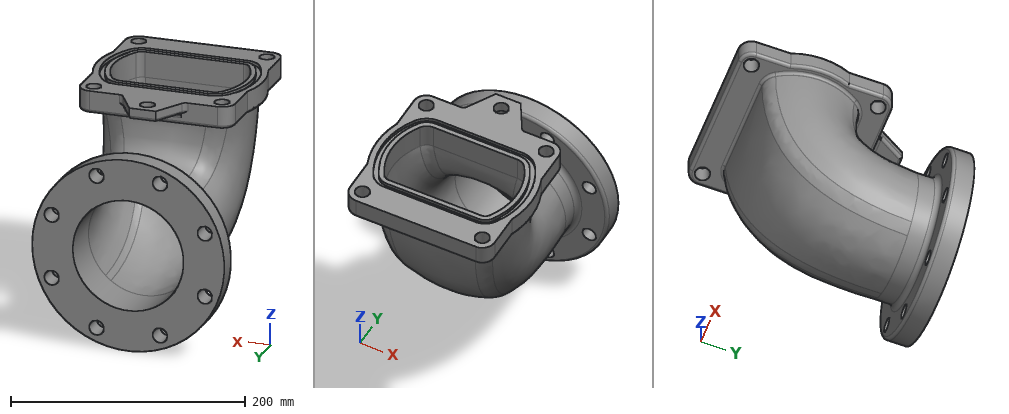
import cadquery as cq
import math


flange_thickness = 20.0
edge_round = 3.0
bolt_hole_diameter = 13.0

round_flange_radius = 87.0
round_flange_bolt_circle = 149.9
round_flange_bolts = 8

top_z = 120.0
mouth_y = -135.0
square_side = 140.0
square_corner = 12.0
square_bolt_spacing = 116.0
bulge_radius = 75.0

lug_thickness = 10.0
lug_reach = 98.0
lug_hole_reach = 85.0
lug_tip_half_width = 12.0
lug_side_angle = 60
lug_plan_fillet = 5.0
lug_root_fillet = 4.0

pipe_radius = 57.0
bore_radius = 50.0
round_neck_end = -40.0
round_neck_fillet = 5.0
mouth_neck_depth = 23.0
mouth_fillet = 2.7

opening_radius = 60.0
opening_inner_reach = 37.9
opening_outer_reach = 35.2
opening_inner_corner = 12.0
opening_outer_corner = 8.0

side_wall = 7.0
flat_wall = 7.9

groove_inner_offset = 4.5
groove_outer_offset = 9.1
groove_depth = 3.1

inside_bend_tangents = (37.9, 34.8)
outside_bend_tangents = (74.5, 119.0)
bend_steps = 6

tolerance = 0.02

bottom_z = top_z - flange_thickness
mouth_neck_z = top_z - mouth_neck_depth
neck_radius = opening_radius + side_wall
neck_inner_reach = opening_inner_reach + flat_wall
neck_outer_reach = opening_outer_reach + flat_wall


def half_mouth(radius, reach, corner):
    """End, middle and end of the rounded corner on the +X side, from the flat to the side arc."""
    centre_x = math.sqrt((radius - corner) ** 2 - (reach - corner) ** 2)
    centre_v = reach - corner
    side_angle = math.atan2(centre_v, centre_x)
    middle_angle = (side_angle + math.pi / 2) / 2
    return [
        (centre_x + corner * math.cos(angle), centre_v + corner * math.sin(angle))
        for angle in (math.pi / 2, middle_angle, side_angle)
    ]


def mouth_points(radius, inner_reach, outer_reach, inner_corner, outer_corner):
    """Sixteen points around the mouth, alternating edge ends and edge middles."""
    upper = half_mouth(radius, inner_reach, inner_corner)
    lower = [(x, -v) for x, v in half_mouth(radius, outer_reach, outer_corner)]
    right = upper + [(radius, 0)] + lower[::-1]
    left = [(-x, v) for x, v in reversed(right)]
    return right + [(0, -outer_reach)] + left + [(0, inner_reach)]


def outline(points, flats):
    """Closed wire of eight edges; the two flats become lines when flats is true."""
    edges = []
    for i in range(0, len(points), 2):
        start, middle, end = points[i], points[i + 1], points[(i + 2) % len(points)]
        if flats and middle.x == 0:
            edges.append(cq.Edge.makeLine(start, end))
        else:
            edges.append(cq.Edge.makeThreePointArc(start, middle, end))
    return cq.Wire.assembleEdges(edges)


def mouth_wire(points, z):
    return outline([cq.Vector(x, mouth_y + v, z) for x, v in points], True)


def mouth_prism(wire, height):
    return cq.Workplane(cq.Solid.extrudeLinear(wire, [], cq.Vector(0, 0, height)))


def mouth_neck(points):
    return mouth_prism(mouth_wire(points, mouth_neck_z), mouth_neck_depth)


def bend_point(start_z, end_y, tangents, t):
    """Point on the cubic curve that leaves the round neck along -Y and reaches the mouth along +Z."""
    start = cq.Vector(0, round_neck_end, start_z)
    end = cq.Vector(0, end_y, mouth_neck_z)
    start_pull = start - cq.Vector(0, tangents[0], 0)
    end_pull = end - cq.Vector(0, 0, tangents[1])
    s = 1 - t
    return start * s**3 + start_pull * (3 * s * s * t) + end_pull * (3 * s * t * t) + end * t**3


def bend(radius, points):
    """Loft from a circle of the given radius to the mouth outline."""
    inner_reach = max(v for x, v in points)
    outer_reach = -min(v for x, v in points)
    half_depth = (inner_reach + outer_reach) / 2
    mouth_radius = max(x for x, v in points)
    middle_v = (inner_reach - outer_reach) / 2
    wires = []
    for step in range(bend_steps + 1):
        t = step / bend_steps
        squareness = t * t
        half_width = (1 - t) * radius + t * mouth_radius
        inside = bend_point(radius, mouth_y + inner_reach, inside_bend_tangents, t)
        outside = bend_point(-radius, mouth_y - outer_reach, outside_bend_tangents, t)
        middle = (inside + outside) * 0.5
        half_chord = (inside - outside) * 0.5
        section = []
        for x, v in points:
            rise = (v - middle_v) / half_depth
            across = x / mouth_radius
            size = math.hypot(across, rise)
            scale = (1 - squareness) / size + squareness
            sideways = cq.Vector(half_width * across * scale, 0, 0)
            section.append(middle + half_chord * (rise * scale) + sideways)
        wires.append(outline(section, step == bend_steps))
    return cq.Workplane(cq.Solid.makeLoft(wires))


def round_neck(radius):
    return cq.Workplane("XZ").circle(radius).extrude(-round_neck_end)


def round_flange():
    return (
        cq.Workplane("XZ")
        .circle(round_flange_radius)
        .extrude(flange_thickness)
        .faces("<Y")
        .edges()
        .fillet(edge_round)
    )


def square_flange():
    plane = cq.Workplane("XY", origin=(0, mouth_y, bottom_z))
    plate = plane.rect(square_side, square_side).extrude(flange_thickness).edges("|Z").fillet(square_corner)
    disc = plane.circle(bulge_radius).extrude(flange_thickness)
    band = plane.rect(2 * bulge_radius, square_bolt_spacing).extrude(flange_thickness)
    return plate.union(disc.intersect(band)).faces("<Z").edges().fillet(edge_round)


def lug():
    """Tapered lug flared into the plate, with a rounded lower edge and a filleted root underneath."""
    root_y = square_side / 2
    overlap_y = root_y - square_corner
    spread = (lug_reach - root_y) / math.tan(math.radians(lug_side_angle))
    root_half_width = lug_tip_half_width + spread
    lug_bottom_z = top_z - lug_thickness
    plane = cq.Workplane("XY", origin=(0, mouth_y, lug_bottom_z))
    wedge = (
        plane.polyline(
            [
                (-root_half_width, overlap_y),
                (-root_half_width, root_y),
                (-lug_tip_half_width, lug_reach),
                (lug_tip_half_width, lug_reach),
                (root_half_width, root_y),
                (root_half_width, overlap_y),
            ]
        )
        .close()
        .extrude(lug_thickness)
    )
    root_strip = (
        plane.center(0, (root_y + overlap_y) / 2)
        .rect(square_bolt_spacing, root_y - overlap_y)
        .extrude(lug_thickness)
    )

    def at_sides(edge):
        centre = edge.Center()
        return abs(centre.y - mouth_y - root_y) < tolerance and abs(centre.x) < root_half_width + tolerance

    def beyond_root(edge):
        return edge.Center().y > mouth_y + root_y + tolerance

    flared = wedge.union(root_strip).edges("|Z").filter(at_sides).fillet(lug_plan_fillet)
    rounded = flared.faces("<Z").edges().filter(beyond_root).fillet(edge_round)

    root_fillet = (
        cq.Workplane("YZ", origin=(-root_half_width + edge_round, mouth_y, 0))
        .moveTo(root_y, lug_bottom_z)
        .lineTo(root_y, lug_bottom_z - lug_root_fillet)
        .radiusArc((root_y + lug_root_fillet, lug_bottom_z), lug_root_fillet)
        .close()
        .extrude(2 * (root_half_width - edge_round))
    )
    return rounded.union(root_fillet)


def bolt_holes():
    round_holes = (
        cq.Workplane("XZ")
        .polarArray(round_flange_bolt_circle / 2, 180 / round_flange_bolts, 360, round_flange_bolts)
        .circle(bolt_hole_diameter / 2)
        .extrude(flange_thickness)
    )
    square_holes = (
        cq.Workplane("XY", origin=(0, mouth_y, bottom_z))
        .rect(square_bolt_spacing, square_bolt_spacing, forConstruction=True)
        .vertices()
        .circle(bolt_hole_diameter / 2)
        .extrude(flange_thickness)
    )
    lug_hole = (
        cq.Workplane("XY", origin=(0, mouth_y + lug_hole_reach, bottom_z))
        .circle(bolt_hole_diameter / 2)
        .extrude(flange_thickness)
    )
    return round_holes.union(square_holes).union(lug_hole)


opening = mouth_points(
    opening_radius,
    opening_inner_reach,
    opening_outer_reach,
    opening_inner_corner,
    opening_outer_corner,
)
neck = mouth_points(
    neck_radius,
    neck_inner_reach,
    neck_outer_reach,
    opening_inner_corner + flat_wall,
    opening_outer_corner + flat_wall,
)


def pipe(radius, points):
    """Round neck, bend and straight mouth neck in one solid."""
    return round_neck(radius).union(bend(radius, points)).union(mouth_neck(points))


def seal_groove():
    rim = mouth_wire(opening, top_z - groove_depth)
    outer = mouth_prism(rim.offset2D(groove_outer_offset)[0], groove_depth)
    return outer.cut(mouth_prism(rim.offset2D(groove_inner_offset)[0], groove_depth))


def round_end():
    """Round flange and its neck with a fillet between them."""

    def at_root(edge):
        return abs(edge.Center().y + flange_thickness) < tolerance and edge.radius() < pipe_radius + tolerance

    end = round_flange().union(round_neck(pipe_radius))
    return end.edges("%CIRCLE").filter(at_root).fillet(round_neck_fillet)


def mouth_end():
    """Square flange and its neck with a fillet between them."""

    def at_root(edge):
        centre = edge.Center()
        across = abs(centre.x) < neck_radius + tolerance
        along = abs(centre.y - mouth_y) < neck_inner_reach + tolerance
        return abs(centre.z - bottom_z) < tolerance and across and along

    end = square_flange().union(lug()).union(mouth_neck(neck))
    return end.edges().filter(at_root).fillet(mouth_fillet)


body = bend(pipe_radius, neck).union(round_end()).union(mouth_end())
result = body.cut(pipe(bore_radius, opening)).cut(seal_groove()).cut(bolt_holes())